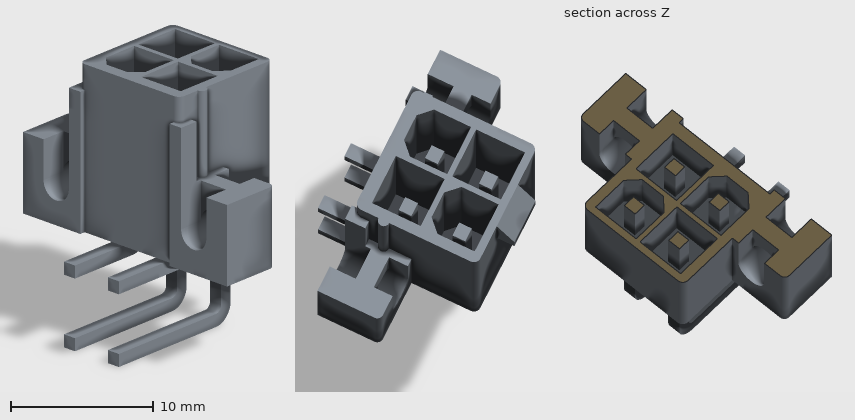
import cadquery as cq

body_size = 9.61
body_height = 12.8
body_corner_radius = 0.52

pitch = 4.22
grid_center_y = 0.2
pocket_size = 3.82
pocket_chamfer = 0.92
pocket_depth = 9.95
pin_width = 1.05
pin_thickness = 1.0
pin_top = 8.75
pin_end_y = -8.72
rear_pin_bottom = -7.1
rear_pin_bend = 0.52
front_pin_bottom = -1.57
front_pin_bend = 0.3

flange_span = 19.6
flange_height = 6.2
flange_front_y = -5.25
flange_depth = 4.92
flange_corner_radius = 0.45
flange_inner_x = 4.3
slot_center_x = 6.6
slot_radius = 1.21
slot_center_z = 3.1
web_front_y = -3.22
web_thickness = 1.41

post_outer_x = slot_center_x - slot_radius
post_height = 10.83
post_depth = 1.6

latch_width = 3.38
latch_tip_y = 6.19
latch_height = 2.98
latch_ramp_height = 1.97

key_radius = 0.42
key_y = -2.5

body_half = body_size / 2
flange_rear_y = flange_front_y + flange_depth


def box(x_min, x_max, y_min, y_max, z_min, z_max):
    """Box between two opposite corners."""
    size = (x_max - x_min, y_max - y_min, z_max - z_min)
    return cq.Workplane("XY").box(*size, centered=False).translate((x_min, y_min, z_min))


def make_body():
    block = cq.Workplane("XY").rect(body_size, body_size).extrude(body_height)
    return block.edges("|Z").fillet(body_corner_radius)


def make_latch():
    profile = [
        (body_half, body_height),
        (latch_tip_y, body_height - latch_ramp_height),
        (latch_tip_y, body_height - latch_height),
        (body_half, body_height - latch_height),
    ]
    return cq.Workplane("YZ").polyline(profile).close().extrude(latch_width / 2, both=True)


def make_key():
    return cq.Workplane("XY").center(body_half, key_y).circle(key_radius).extrude(body_height)


def make_slot_opening(y_min, y_max):
    """Straight-sided upper part of a slot, from the bore axis to the flange top."""
    return box(
        slot_center_x - slot_radius, slot_center_x + slot_radius,
        y_min, y_max, slot_center_z, flange_height,
    )


def make_flange():
    """Flange and post on the +X side, with an open slot either side of a bored web."""
    flange = box(flange_inner_x, flange_span / 2, flange_front_y, flange_rear_y, 0, flange_height)
    flange = flange.edges("|Z and >X and >Y").fillet(flange_corner_radius)
    post = box(
        flange_inner_x, post_outer_x,
        flange_front_y, flange_front_y + post_depth, 0, post_height,
    )
    bore = (
        cq.Workplane("XZ", origin=(slot_center_x, flange_rear_y, slot_center_z))
        .circle(slot_radius)
        .extrude(flange_depth)
    )
    return (
        flange.union(post)
        .cut(make_slot_opening(flange_front_y, web_front_y))
        .cut(make_slot_opening(web_front_y + web_thickness, flange_rear_y))
        .cut(bore)
    )


def make_pocket(x, y, keyed):
    """Contact pocket; a keyed one has its two front corners cut off."""
    pocket = (
        cq.Workplane("XY", origin=(x, y, body_height - pocket_depth))
        .rect(pocket_size, pocket_size)
        .extrude(pocket_depth)
    )
    if keyed:
        pocket = pocket.edges("|Z and <Y").chamfer(pocket_chamfer)
    return pocket


def make_pin(x, y, bottom, bend_radius):
    """Square contact running down through the housing and bent toward -Y."""
    rear_y = y + pin_thickness / 2
    front_y = y - pin_thickness / 2
    upper_z = bottom + pin_thickness
    profile = [
        (rear_y, pin_top),
        (rear_y, bottom),
        (pin_end_y, bottom),
        (pin_end_y, upper_z),
        (front_y, upper_z),
        (front_y, pin_top),
    ]
    pin = (
        cq.Workplane("YZ", origin=(x, 0, 0))
        .polyline(profile)
        .close()
        .extrude(pin_width / 2, both=True)
    )
    inner_edge = cq.selectors.NearestToPointSelector((x, front_y, upper_z))
    outer_edge = cq.selectors.NearestToPointSelector((x, rear_y, bottom))
    pin = pin.edges("|X").edges(inner_edge).fillet(bend_radius)
    return pin.edges("|X").edges(outer_edge).fillet(bend_radius + pin_thickness)


rows = [
    (grid_center_y + pitch / 2, rear_pin_bottom, rear_pin_bend),
    (grid_center_y - pitch / 2, front_pin_bottom, front_pin_bend),
]
columns = [-pitch / 2, pitch / 2]

flange = make_flange()
result = make_body().union(flange).union(flange.mirror("YZ")).union(make_latch()).union(make_key())

for row, (y, bottom, bend_radius) in enumerate(rows):
    for column, x in enumerate(columns):
        result = result.cut(make_pocket(x, y, keyed=row != column))
        result = result.union(make_pin(x, y, bottom, bend_radius))